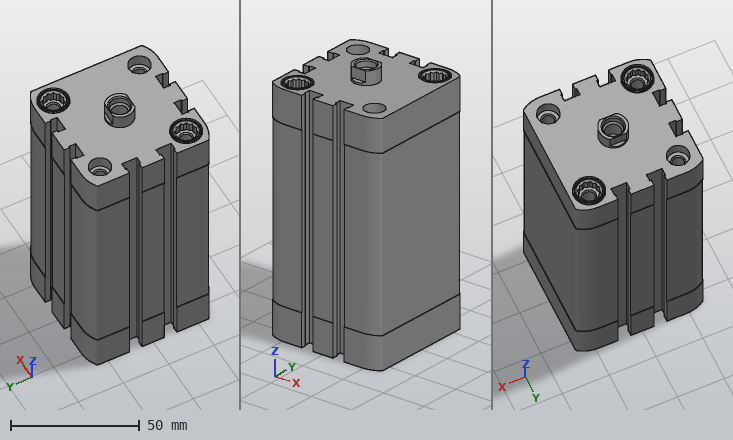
import cadquery as cq
import math

total_height = 114.6
housing_height = 108.3
cap_width = 54.5
cap_height = 15.0
barrel_inset = 0.2

corner_arc_start = 19.0
corner_arc_radius = 13.8
corner_edge_radius = 1.0

slot_outer = 10.4
slot_inner = 4.9
slot_undercut_outer = 10.9
slot_undercut_inner = 4.2
slot_lip_depth = 2.5
slot_depth = 5.5

hole_offset = 19.0
core_diameter = 4.9
thread_diameter = 6.0
plain_counterbore_diameter = 9.0
plain_counterbore_depth = 5.0

recess_diameter = 12.8
recess_depth = 1.7
head_diameter = 11.9
head_chamfer = 0.3
socket_mouth_diameter = 10.3
socket_cone_depth = 0.9
socket_points = 12
socket_ridge_diameter = 8.1
socket_depth = 4.5

rod_diameter = 12.0
rod_flat_width = 9.7
rod_flat_height = 4.8
rod_flat_runout_angle = 30.0
rod_bore_diameter = 8.4
rod_bore_depth = 3.2
rod_mouth_diameter = 9.4
rod_core_diameter = 6.8
rod_core_depth = 11.5
drill_tip_angle = 118.0

cap_half = cap_width / 2
rod_bottom = housing_height - cap_height


def slab(half_width, bottom, height):
    """Square block whose four corners are arcs tangent to its Y sides."""
    reach = half_width - corner_arc_start
    drop = corner_arc_radius - math.sqrt(corner_arc_radius**2 - reach**2)
    half_angle = math.asin(reach / corner_arc_radius) / 2
    mid_reach = corner_arc_radius * math.sin(half_angle)
    mid_drop = corner_arc_radius * (1 - math.cos(half_angle))
    start = corner_arc_start
    mid = (start + mid_reach, half_width - mid_drop)
    end = (half_width, half_width - drop)
    body = (
        cq.Workplane("XY", origin=(0, 0, bottom))
        .moveTo(-start, half_width)
        .lineTo(start, half_width)
        .threePointArc(mid, end)
        .lineTo(end[0], -end[1])
        .threePointArc((mid[0], -mid[1]), (start, -half_width))
        .lineTo(-start, -half_width)
        .threePointArc((-mid[0], -mid[1]), (-end[0], -end[1]))
        .lineTo(-end[0], end[1])
        .threePointArc((-mid[0], mid[1]), (-start, half_width))
        .close()
        .extrude(height)
    )
    for x in (-end[0], end[0]):
        for y in (-end[1], end[1]):
            corner = cq.selectors.NearestToPointSelector((x, y, bottom + height / 2))
            body = body.edges("|Z").edges(corner).fillet(corner_edge_radius)
    return body


def slot(side_angle, mirrored, bottom, height):
    """Undercut slot cutter, drawn on the +Y side and turned about Z to its own side."""
    sign = -1 if mirrored else 1
    floor = cap_half - slot_depth
    lip = cap_half - slot_lip_depth
    outline = [
        (slot_inner, cap_half + 1.1),
        (slot_inner, lip),
        (slot_undercut_inner, lip),
        (slot_undercut_inner, floor),
        (slot_undercut_outer, floor),
        (slot_undercut_outer, lip),
        (slot_outer, lip),
        (slot_outer, cap_half + 1.1),
    ]
    return (
        cq.Workplane("XY", origin=(0, 0, bottom))
        .polyline([(sign * x, y) for x, y in outline])
        .close()
        .extrude(height)
        .rotate((0, 0, 0), (0, 0, 1), side_angle)
    )


def section(half_width, bottom, height):
    body = slab(half_width, bottom, height)
    for side_angle in (0, 90, 180):
        for mirrored in (False, True):
            body = body.cut(slot(side_angle, mirrored, bottom, height))
    return body


def revolve_profile(points, x=0, y=0):
    """Turns an outline of (radius, z) points about the vertical axis through (x, y)."""
    return (
        cq.Workplane("XZ")
        .polyline(points)
        .close()
        .revolve(360, (0, 0, 0), (0, 1, 0))
        .translate((x, y, 0))
    )


def cored_hole(x, y, floor):
    """Core hole through the whole housing with a countersunk mouth at the given floor."""
    core = core_diameter / 2
    mouth = thread_diameter / 2
    return revolve_profile([(0, 0), (core, 0), (core, floor - (mouth - core)), (mouth, floor), (0, floor)], x, y)


def plain_hole(x, y):
    floor = housing_height - plain_counterbore_depth
    counterbore = (
        cq.Workplane("XY", origin=(x, y, floor))
        .circle(plain_counterbore_diameter / 2)
        .extrude(plain_counterbore_depth)
    )
    return counterbore.union(cored_hole(x, y, floor))


def screw_gap(x, y):
    """Ring-shaped gap between the recess wall and the chamfered screw head."""
    recess = recess_diameter / 2
    head = head_diameter / 2
    bottom = housing_height - recess_depth
    return revolve_profile(
        [
            (recess, bottom),
            (recess, housing_height),
            (head - head_chamfer, housing_height),
            (head, housing_height - head_chamfer),
            (head, bottom),
        ],
        x,
        y,
    )


def screw_socket(x, y):
    """Twelve-point socket, made of two crossed hexagons, with a conical mouth."""
    floor = housing_height - socket_depth
    cutter = cored_hole(x, y, floor)

    ridge = socket_ridge_diameter / 2
    sides = socket_points // 2
    point_spacing = 360 / socket_points
    half_spacing = math.radians(point_spacing / 2)
    point_radius = ridge * math.cos(half_spacing) / math.cos(math.pi / sides)
    first_point = 45 - point_spacing / 2
    for turn in (first_point, first_point + point_spacing):
        hexagon = (
            cq.Workplane("XY")
            .polygon(sides, 2 * point_radius)
            .extrude(socket_depth)
            .rotate((0, 0, 0), (0, 0, 1), turn)
            .translate((x, y, floor))
        )
        cutter = cutter.union(hexagon)

    mouth = socket_mouth_diameter / 2
    cone_bottom = housing_height - socket_cone_depth
    cone = revolve_profile(
        [(0, cone_bottom), (ridge, cone_bottom), (mouth, housing_height), (0, housing_height)], x, y
    )
    return cutter.union(cone)


def make_housing():
    barrel_height = housing_height - 2 * cap_height
    body = section(cap_half - barrel_inset, cap_height, barrel_height)
    for bottom in (0, housing_height - cap_height):
        body = body.union(section(cap_half, bottom, cap_height))
    for side in (-1, 1):
        body = body.cut(plain_hole(side * hole_offset, -side * hole_offset))
        body = body.cut(screw_gap(side * hole_offset, side * hole_offset))
        body = body.cut(screw_socket(side * hole_offset, side * hole_offset))
    rod_seat = cq.Workplane("XY", origin=(0, 0, rod_bottom)).circle(rod_diameter / 2).extrude(cap_height)
    return body.cut(rod_seat)


def make_rod():
    body = (
        cq.Workplane("XY", origin=(0, 0, rod_bottom))
        .circle(rod_diameter / 2)
        .extrude(total_height - rod_bottom)
    )

    flat = rod_flat_width / 2
    outside = rod_diameter / 2 + 1.1
    flat_bottom = total_height - rod_flat_height
    runout_drop = (outside - flat) * math.tan(math.radians(rod_flat_runout_angle))
    flat_cutter = (
        cq.Workplane("YZ")
        .polyline(
            [
                (flat, total_height),
                (flat, flat_bottom),
                (outside, flat_bottom - runout_drop),
                (outside, total_height),
            ]
        )
        .close()
        .extrude(rod_diameter / 2, both=True)
    )
    body = body.cut(flat_cutter).cut(flat_cutter.mirror("XZ"))

    mouth = rod_mouth_diameter / 2
    bore = rod_bore_diameter / 2
    core = rod_core_diameter / 2
    step = total_height - rod_bore_depth
    core_bottom = total_height - rod_core_depth
    tip = core_bottom - core / math.tan(math.radians(drill_tip_angle / 2))
    bore_cutter = revolve_profile(
        [
            (0, tip),
            (core, core_bottom),
            (core, step - (bore - core)),
            (bore, step),
            (bore, total_height - (mouth - bore)),
            (mouth, total_height),
            (0, total_height),
        ]
    )
    return body.cut(bore_cutter)


housing = make_housing()
rod = make_rod()

result = cq.Compound.makeCompound([housing.val(), rod.val()])